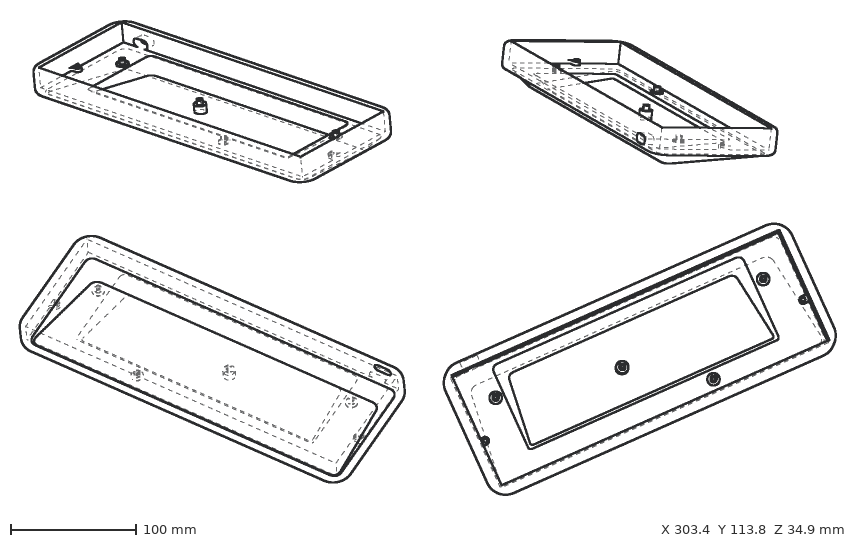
import cadquery as cq
import math

tilt_angle = 7.0
tray_length = 303.38
tray_depth = 112.88
tray_height = 21.9
corner_radius = 16.0
rim_radius = 4.0
underside_radius = 4.0
wall_thickness = 8.0
floor_thickness = 4.0
cavity_length = tray_length - 2 * wall_thickness
cavity_depth = tray_depth - 2 * wall_thickness

overall_height = 34.86
pocket_length = 219.5
pocket_center_x = -0.3
pocket_back = 43.7
pocket_front = -30.0
pocket_base_thickness = 4.5
foot_inset = 0.7
pocket_back_radius = 7.5
pocket_front_radius = 3.5
foot_radius = 10.0
taper_angle = 45.0
taper_depth = 30.0
sloping_edges = "not(|X or |Y)"

joint_overlap = 2.0

boss_diameter = 10.0
boss_height = 0.75
pin_diameter = 5.0
pin_height = 4.0
screw_hole_diameter = 3.2
boss_top = floor_thickness + boss_height
central_boss = (-14.7, 0.5)
floor_bosses = [(-117.3, 19.2), (117.3, 19.2), (47.8, -38.0)]

lug_radius = 3.0
lug_reach = 4.3
lug_y = -9.1
lug_height = 3.0
lug_pin_diameter = 3.2
lug_pin_height = 1.5
lug_root_radius = 2.0

cable_slot_x = -124.6
cable_slot_width = 15.0
cable_slot_height = 7.5
cable_slot_z = floor_thickness + cable_slot_height / 2

tilt = math.radians(tilt_angle)
back_rim_center_y = tray_depth / 2 - rim_radius
back_rim_center_z = tray_height - rim_radius
tray_lift = (
    overall_height
    - rim_radius
    - back_rim_center_y * math.sin(tilt)
    - back_rim_center_z * math.cos(tilt)
)


def tilted(shape):
    """Tilt a level shape so that its back rises, and lift it to its place above the ground."""
    return shape.rotate((0, 0, 0), (1, 0, 0), tilt_angle).translate((0, 0, tray_lift))


def level_box(length, back, front, bottom, height):
    middle = (back + front) / 2
    return cq.Workplane("XY", origin=(0, middle, bottom)).rect(length, back - front).extrude(height)


def tray_body():
    body = level_box(tray_length, tray_depth / 2, -tray_depth / 2, 0, tray_height)
    body = body.edges("|Z").fillet(corner_radius)
    body = body.faces(">Z").edges().fillet(rim_radius)
    return body.faces("<Z").edges().fillet(underside_radius)


def tray_cavity():
    return level_box(cavity_length, cavity_depth / 2, -cavity_depth / 2, floor_thickness, tray_height)


def sloped_wedge(top, length, back, front):
    """A body narrowing downward by taper_angle from a rectangle at z = top."""
    return (
        cq.Workplane("XY", origin=(0, (back + front) / 2, top))
        .rect(length, back - front)
        .extrude(-taper_depth, taper=taper_angle)
    )


def level_off(wedge, ground):
    """Tilt a wedge with the tray and keep the part of it above the level z = ground."""
    above_ground = level_box(2 * tray_length, tray_depth, -tray_depth, ground, 2 * overall_height)
    return tilted(wedge).intersect(above_ground)


def foot():
    foot_half_depth = cavity_depth / 2 - foot_inset
    wedge = sloped_wedge(0, cavity_length - 2 * foot_inset, foot_half_depth, -foot_half_depth)
    return level_off(wedge.edges(sloping_edges).fillet(foot_radius), 0)


def pocket():
    wedge = sloped_wedge(floor_thickness, pocket_length, pocket_back, pocket_front)
    wedge = wedge.edges(sloping_edges).edges(">Y").fillet(pocket_back_radius)
    wedge = wedge.faces("<Y").edges(sloping_edges).fillet(pocket_front_radius)
    return level_off(wedge.translate((pocket_center_x, 0, 0)), pocket_base_thickness)


def cylinder(center, diameter, bottom, top):
    height = top - bottom
    return cq.Workplane("XY", origin=(*center, bottom)).circle(diameter / 2).extrude(height)


def boss(center, bottom):
    pin_top = boss_top + pin_height
    post = cylinder(center, boss_diameter, bottom, boss_top)
    pin = cylinder(center, pin_diameter, bottom, pin_top)
    hole = cylinder(center, screw_hole_diameter, floor_thickness, pin_top)
    return post.union(pin).cut(hole)


def lug(side):
    """A round-ended lug on the end wall at side -1 or +1, with filleted roots and a plain pin."""
    lug_pin_top = floor_thickness + lug_height + lug_pin_height
    wall_x = side * cavity_length / 2
    center_x = wall_x - side * lug_reach
    root_x = wall_x - side * lug_root_radius
    root_y = lug_radius + lug_root_radius
    corner_shift = lug_root_radius * math.sqrt(0.5)
    blend_x = root_x + side * corner_shift
    blend_y = root_y - corner_shift
    tip_x = center_x - side * lug_radius
    anchor_x = wall_x + side * joint_overlap
    return (
        cq.Workplane("XY", origin=(0, lug_y, floor_thickness))
        .moveTo(anchor_x, root_y)
        .lineTo(wall_x, root_y)
        .threePointArc((blend_x, blend_y), (root_x, lug_radius))
        .lineTo(center_x, lug_radius)
        .threePointArc((tip_x, 0), (center_x, -lug_radius))
        .lineTo(root_x, -lug_radius)
        .threePointArc((blend_x, -blend_y), (wall_x, -root_y))
        .lineTo(anchor_x, -root_y)
        .close()
        .extrude(lug_height)
        .union(cylinder((center_x, lug_y), lug_pin_diameter, floor_thickness, lug_pin_top))
    )


def cable_slot():
    return (
        cq.Workplane("XZ", origin=(cable_slot_x, tray_depth / 2 + wall_thickness, cable_slot_z))
        .slot2D(cable_slot_width, cable_slot_height)
        .extrude(3 * wall_thickness)
    )


result = tilted(tray_body()).union(foot())
result = result.cut(tilted(tray_cavity())).cut(pocket()).cut(tilted(cable_slot()))
for boss_center in floor_bosses:
    result = result.union(tilted(boss(boss_center, floor_thickness - joint_overlap)))
central_boss_bottom = pocket_base_thickness - joint_overlap - tray_lift
result = result.union(tilted(boss(central_boss, central_boss_bottom)))
for end in (-1, 1):
    result = result.union(tilted(lug(end)))